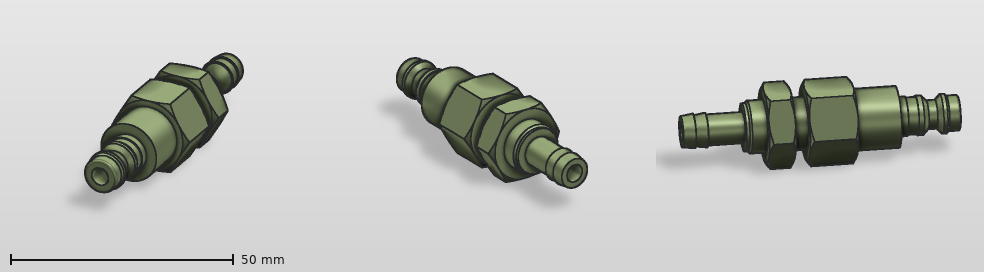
import cadquery as cq
import math

total_length = 63.0
plug_tip_y = -total_length / 2
hose_tip_y = total_length / 2

bore_diameter = 4.2

plug_diameter = 9.0
nose_diameter = 8.1
nose_length = 2.6
nose_round = 0.5
lead_in_length = 0.5
front_rim_length = 0.9
groove_diameter = 6.6
groove_cone_length = (plug_diameter - groove_diameter) / 2
groove_floor_length = 2.0
rear_rim_length = 1.2
neck_diameter = 8.5
neck_length = 2.4
plug_length = 14.0

sleeve_diameter = 14.0
sleeve_length = 10.0
hex_sides = 6
hex_across_flats = 17.0
hex_chamfer_angle = 30.0
body_hex_length = 11.0
shank_diameter = 12.0
shank_length = 14.0
shank_end_diameter = 11.0
shank_end_length = 0.75
shank_chamfer = (shank_diameter - shank_end_diameter) / 2

stem_diameter = 7.1
barb_diameter = 7.9
barb_length = 2.8
barb_count = 2

nut_length = 6.0
nut_gap = 3.25

nose_end_y = plug_tip_y + nose_length
front_rim_y = nose_end_y + lead_in_length
groove_start_y = front_rim_y + front_rim_length
groove_floor_y = groove_start_y + groove_cone_length
groove_floor_end_y = groove_floor_y + groove_floor_length
rear_rim_y = groove_floor_end_y + groove_cone_length
neck_y = rear_rim_y + rear_rim_length
collar_y = neck_y + neck_length
sleeve_y = plug_tip_y + plug_length
body_hex_y = sleeve_y + sleeve_length
shank_y = body_hex_y + body_hex_length
shank_end_y = shank_y + shank_length
shank_step_y = shank_end_y - shank_end_length
barbs_y = hose_tip_y - barb_count * barb_length
nut_y = shank_y + nut_gap


def cylinder(diameter, start_y, length):
    """Cylinder about the Y axis, running toward +Y from start_y."""
    plane = cq.Plane(origin=(0, start_y, 0), xDir=(1, 0, 0), normal=(0, 1, 0))
    return cq.Workplane(plane).circle(diameter / 2).extrude(length)


def revolve_profile(stations):
    """Solid of revolution about Y through (diameter, y) stations listed toward +Y."""
    outline = [(0, stations[0][1])]
    outline += [(diameter / 2, y) for diameter, y in stations]
    outline.append((0, stations[-1][1]))
    return cq.Workplane("XY").polyline(outline).close().revolve(360, (0, 0, 0), (0, 1, 0))


def chamfered_hex(start_y, length):
    """Hexagon prism with flats facing +Z and -Z and conically chamfered corners at both ends."""
    across_corners = hex_across_flats / math.cos(math.pi / hex_sides)
    chamfer_width = (across_corners - hex_across_flats) / 2
    chamfer_depth = chamfer_width * math.tan(math.radians(hex_chamfer_angle))
    end_y = start_y + length
    plane = cq.Plane(origin=(0, start_y, 0), xDir=(1, 0, 0), normal=(0, 1, 0))
    prism = cq.Workplane(plane).polygon(hex_sides, across_corners).extrude(length)
    envelope = revolve_profile([
        (hex_across_flats, start_y),
        (across_corners, start_y + chamfer_depth),
        (across_corners, end_y - chamfer_depth),
        (hex_across_flats, end_y),
    ])
    return prism.intersect(envelope)


def make_plug():
    """Grooved quick-coupling plug with a rounded tip."""
    plug = revolve_profile([
        (nose_diameter, plug_tip_y),
        (nose_diameter, nose_end_y),
        (plug_diameter, front_rim_y),
        (plug_diameter, groove_start_y),
        (groove_diameter, groove_floor_y),
        (groove_diameter, groove_floor_end_y),
        (plug_diameter, rear_rim_y),
        (plug_diameter, neck_y),
        (neck_diameter, neck_y),
        (neck_diameter, collar_y),
        (plug_diameter, collar_y),
        (plug_diameter, sleeve_y),
    ])
    return plug.faces("<Y").edges().fillet(nose_round)


def make_shank():
    """Shank with a chamfered shoulder and a reduced end."""
    return revolve_profile([
        (shank_diameter, shank_y),
        (shank_diameter, shank_step_y - shank_chamfer),
        (shank_end_diameter, shank_step_y),
        (shank_end_diameter, shank_end_y),
    ])


def make_hose_tail():
    """Plain stem ending in barbs that taper toward the hose tip."""
    tail = cylinder(stem_diameter, shank_end_y, barbs_y - shank_end_y)
    for index in range(barb_count):
        barb_y = barbs_y + index * barb_length
        barb = revolve_profile([(barb_diameter, barb_y), (stem_diameter, barb_y + barb_length)])
        tail = tail.union(barb)
    return tail


def make_fitting():
    """One-piece plug, sleeve, hexagon, shank and hose tail with a through bore."""
    return (
        make_plug()
        .union(cylinder(sleeve_diameter, sleeve_y, sleeve_length))
        .union(chamfered_hex(body_hex_y, body_hex_length))
        .union(make_shank())
        .union(make_hose_tail())
        .cut(cylinder(bore_diameter, plug_tip_y, total_length))
    )


def make_lock_nut():
    """Hexagon nut whose hole fits the shank."""
    return chamfered_hex(nut_y, nut_length).cut(cylinder(shank_diameter, nut_y, nut_length))


fitting = make_fitting()
lock_nut = make_lock_nut()

result = cq.Compound.makeCompound([fitting.val(), lock_nut.val()])